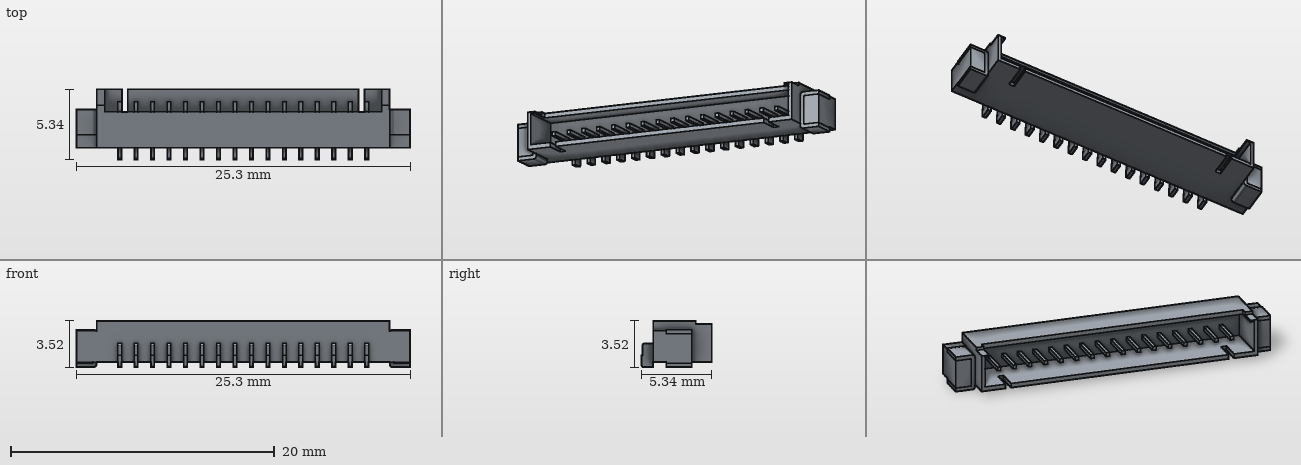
import cadquery as cq

length = 25.33
housing_top = 3.52
wing_top = 3.3
ear_top = 2.75
housing_bottom = 0.38

roof_depth = 2.74
ear_depth = 2.95
step_depth = 3.25
housing_depth = 4.45

block_length = 22.25
side_wall = 0.28
roof_thickness = 0.35
floor_thickness = 0.35
front_wall = 1.0
roof_opening_length = 21.02
slot_outer_x = 9.2
slot_width = 0.43

clip_front = 1.0
clip_top = 2.84
clip_thickness = 0.3
bend_outer_radius = 0.23
bend_inner_radius = 0.08

contact_count = 16
contact_span = 18.75
contact_pitch = contact_span / (contact_count - 1)
contact_width = 0.28
contact_reach = 3.5
tail_top = 1.8
tail_step_height = 0.89
tail_length = 0.89
tail_step_back = 0.08
tail_round = 0.15
blade_height = 0.3


def box(x0, x1, y0, y1, z0, z1):
    """Box between two opposite corners."""
    return cq.Workplane("XY").box(x1 - x0, y1 - y0, z1 - z0, centered=False).translate((x0, y0, z0))


def make_block():
    """Central block hollowed from the rear, with a cut-back roof and a slotted floor."""
    half = block_length / 2
    cavity_half = half - side_wall
    opening_half = roof_opening_length / 2
    floor_top = housing_bottom + floor_thickness
    cavity_top = housing_top - roof_thickness
    block = box(-half, half, 0, housing_depth, housing_bottom, housing_top)
    lowered_rear = box(-half, half, step_depth, housing_depth, wing_top, housing_top)
    cavity = box(-cavity_half, cavity_half, front_wall, housing_depth, floor_top, cavity_top)
    roof_opening = box(-opening_half, opening_half, roof_depth, housing_depth, cavity_top, housing_top)
    block = block.cut(lowered_rear).cut(cavity).cut(roof_opening)
    for slot_start in (-slot_outer_x, slot_outer_x - slot_width):
        slot = box(
            slot_start, slot_start + slot_width,
            roof_depth, housing_depth,
            housing_bottom, floor_top,
        )
        block = block.cut(slot)
    return block


def make_clip_core():
    """Tongue of the left ear that fills the inside of the clip."""
    core = box(
        -length / 2, -block_length / 2 - clip_thickness,
        clip_front, ear_depth,
        clip_thickness, clip_top - clip_thickness,
    )
    return core.edges("|Y and >X").fillet(bend_inner_radius)


def make_clip(mirrored):
    """C-shaped solder clip of the left ear, or of the right ear when mirrored, open outward."""
    outer = box(-length / 2, -block_length / 2, clip_front, ear_depth, 0, clip_top)
    clip = outer.edges("|Y and >X").fillet(bend_outer_radius).cut(make_clip_core())
    if mirrored:
        clip = clip.mirror("YZ")
    return clip.solids()


def make_ear():
    """Left ear: a solid front part and the narrower tongue behind it."""
    front = box(-length / 2, -block_length / 2, 0, clip_front, housing_bottom, ear_top)
    return front.union(make_clip_core())


def make_contact(x):
    """Contact with an upright solder tail in front and a blade in the cavity."""
    step_y = -tail_length + tail_step_back
    left = x - contact_width / 2
    right = x + contact_width / 2
    upper_tail = box(left, right, step_y, 0, tail_step_height, tail_top)
    upper_tail = upper_tail.edges("|X and <Y and >Z").fillet(tail_round)
    lower_tail = box(left, right, -tail_length, 0, 0, tail_step_height)
    lower_tail = lower_tail.edges("|X and <Y and <Z").fillet(tail_round)
    blade = box(left, right, 0, contact_reach, tail_top - blade_height, tail_top)
    return upper_tail.union(lower_tail).union(blade)


def make_housing():
    """Block, ears and moulded-in contacts as one body."""
    ear = make_ear()
    body = make_block().union(ear).union(ear.mirror("YZ"))
    for i in range(contact_count):
        body = body.union(make_contact(-contact_span / 2 + i * contact_pitch))
    return body


housing = make_housing().solids()
clips = [make_clip(mirrored) for mirrored in (False, True)]

result = cq.Compound.makeCompound([housing.val(), *[clip.val() for clip in clips]])